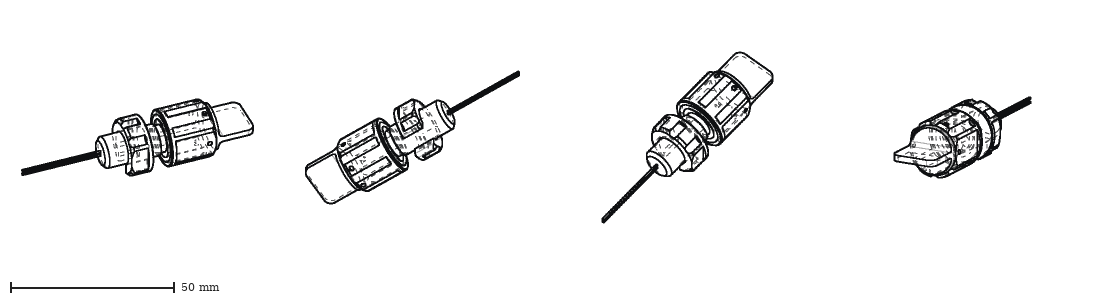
import cadquery as cq
import math


TOTAL_LENGTH = 73.8
COLLAR_START = 11.8
KNOB_START = 13.0
FLANGE_START = 26.5
KNOB_END = 28.05
NECK_END = 30.0
NUT_START = 34.1
NUT_FLANGE_WIDTH = 1.5
NUT_END = 40.95
BARREL_END = 48.1

OUTER_RADIUS = 9.0
COLLAR_RADIUS = 7.4
BARREL_RADIUS = 5.0
NECK_RADIUS = 4.35
NUT_BORE_RADIUS = 5.25

FLAT_DISTANCE = 8.0
GROOVE_RADIUS = 1.55
GROOVE_FLOOR = 7.9
KNOB_GROOVE_ANGLES = [45, 90, 135, 225, 270, 315]
NUT_GROOVE_ANGLES = [45, 90, 135, 225, 315]

KNOB_CHAMFER = 1.0
NUT_CHAMFER = 0.9
BARREL_CHAMFER = 1.1
KNOB_FLANGE_CHAMFER = 0.3
NUT_FLANGE_CHAMFER = 0.2
COLLAR_ROOT_FILLET = 0.2

PLATE_THICKNESS = 2.0
PLATE_CORNER_RADIUS = 2.5
PLATE_ROOT_RADIUS = 1.25

DIMPLE_STATION = 15.2
DIMPLE_RADIUS = 0.7
DIMPLE_FLOOR_RADIUS = 7.9
DIMPLE_ANGLES = [0, 67.5, 112.5, 180, 247.5, 292.5]

RING_RADIUS = 6.8
RING_SECTION_RADIUS = 0.8
RING_STAND_OUT = 0.5

SLOT_WIDTH = 6.3
SLOT_MOUTH_RADIUS = 0.9

CUT_MARGIN = 0.75

WIRE_RADIUS = 0.33
WIRE_OFFSET = 0.7


def disc(radius, start, end, x=0, z=0):
    """Cylinder along the axis between two stations."""
    plane = cq.Workplane("XZ", origin=(0, -start, 0))
    return plane.center(x, z).circle(radius).extrude(end - start)


def block(x_range, start, end, z_range):
    """Rectangular block between two stations."""
    size = (x_range[1] - x_range[0], end - start, z_range[1] - z_range[0])
    corner = (x_range[0], -end, z_range[0])
    return cq.Workplane("XY").box(*size, centered=False).translate(corner)


def cut_flats(body, start, end):
    """Cut one flat on the +X side and one on the -X side."""
    span = (-OUTER_RADIUS, OUTER_RADIUS)
    right_cut = block((FLAT_DISTANCE, OUTER_RADIUS + CUT_MARGIN), start, end, span)
    return body.cut(right_cut).cut(right_cut.mirror("YZ"))


def cut_grooves(body, angles, start, end):
    """Cut round-bottomed finger grooves parallel to the axis."""
    centre_distance = GROOVE_FLOOR + GROOVE_RADIUS
    for angle in angles:
        x = centre_distance * math.cos(math.radians(angle))
        z = centre_distance * math.sin(math.radians(angle))
        body = body.cut(disc(GROOVE_RADIUS, start, end, x, z))
    return body


def cut_dimples(body):
    """Sink round marks into the knob, each with a floor that follows a smaller cylinder."""
    core = disc(DIMPLE_FLOOR_RADIUS, KNOB_START, KNOB_END)
    centre = cq.Vector(0, -DIMPLE_STATION, 0)
    for angle in DIMPLE_ANGLES:
        direction = cq.Vector(math.cos(math.radians(angle)), 0, math.sin(math.radians(angle)))
        drill = cq.Solid.makeCylinder(DIMPLE_RADIUS, OUTER_RADIUS + CUT_MARGIN, centre, direction)
        body = body.cut(cq.Workplane(obj=drill).cut(core))
    return body


def make_knob_body():
    """Grip cylinder with its front collar, flats, grooves and dimples."""
    body = disc(OUTER_RADIUS, KNOB_START, KNOB_END)
    body = body.faces(">Y").chamfer(KNOB_CHAMFER)
    body = body.faces("<Y").chamfer(KNOB_FLANGE_CHAMFER)
    body = body.union(disc(COLLAR_RADIUS, COLLAR_START, KNOB_START))
    collar_root = body.edges(cq.selectors.RadiusNthSelector(0)).edges("<Y")
    body = collar_root.fillet(COLLAR_ROOT_FILLET)
    body = cut_flats(body, KNOB_START, FLANGE_START)
    body = cut_grooves(body, KNOB_GROOVE_ANGLES, KNOB_START, FLANGE_START)
    return cut_dimples(body)


def make_grip_plate():
    """Plate with filleted root, trimmed to the collar cylinder and rounded at its tip corners."""
    half = PLATE_THICKNESS / 2
    root_half = half + PLATE_ROOT_RADIUS
    root_start = COLLAR_START - PLATE_ROOT_RADIUS
    bend = PLATE_ROOT_RADIUS * (1 - math.sqrt(0.5))
    profile = (
        cq.Workplane("YZ", origin=(-COLLAR_RADIUS, 0, 0))
        .moveTo(0, half)
        .lineTo(-root_start, half)
        .threePointArc((-COLLAR_START + bend, half + bend), (-COLLAR_START, root_half))
        .lineTo(-KNOB_START, root_half)
        .lineTo(-KNOB_START, -root_half)
        .lineTo(-COLLAR_START, -root_half)
        .threePointArc((-COLLAR_START + bend, -half - bend), (-root_start, -half))
        .lineTo(0, -half)
        .close()
        .extrude(2 * COLLAR_RADIUS)
    )
    outline = block((-COLLAR_RADIUS, COLLAR_RADIUS), 0, KNOB_START, (-COLLAR_RADIUS, COLLAR_RADIUS))
    outline = outline.faces(">Y").edges("|Z").fillet(PLATE_CORNER_RADIUS)
    return profile.intersect(outline).intersect(disc(COLLAR_RADIUS, 0, KNOB_START))


def make_seal_ring():
    centre_station = KNOB_END + RING_STAND_OUT - RING_SECTION_RADIUS
    ring = cq.Solid.makeTorus(
        RING_RADIUS, RING_SECTION_RADIUS, cq.Vector(0, -centre_station, 0), cq.Vector(0, 1, 0)
    )
    return cq.Workplane(obj=ring)


def make_plug():
    """Knob, barrel and wires as one solid."""
    barrel = disc(BARREL_RADIUS, NECK_END, BARREL_END).faces("<Y").chamfer(BARREL_CHAMFER)
    plug = (
        make_knob_body()
        .union(make_seal_ring())
        .union(make_grip_plate())
        .union(disc(NECK_RADIUS, KNOB_END, NECK_END))
        .union(barrel)
    )
    for z in (WIRE_OFFSET, -WIRE_OFFSET):
        plug = plug.union(disc(WIRE_RADIUS, BARREL_END, TOTAL_LENGTH, z=z))
    return plug


def make_slotted_blank():
    """Disc with the nut's bore and a slot open toward -Z, its mouth edges rounded."""
    blank = disc(OUTER_RADIUS, NUT_START, NUT_END)
    blank = blank.cut(disc(NUT_BORE_RADIUS, NUT_START, NUT_END))
    half = SLOT_WIDTH / 2
    blank = blank.cut(block((-half, half), NUT_START, NUT_END, (-OUTER_RADIUS - CUT_MARGIN, 0)))
    mouth_edges = blank.edges("|Y").edges("<Z")
    return mouth_edges.fillet(SLOT_MOUTH_RADIUS)


def make_nut():
    """Slotted grip nut that surrounds the barrel with a small clearance."""
    flange_end = NUT_START + NUT_FLANGE_WIDTH
    nut = disc(OUTER_RADIUS, NUT_START, NUT_END)
    nut = nut.faces("<Y").chamfer(NUT_CHAMFER)
    nut = nut.faces(">Y").chamfer(NUT_FLANGE_CHAMFER)
    nut = nut.intersect(make_slotted_blank())
    nut = cut_flats(nut, flange_end, NUT_END)
    return cut_grooves(nut, NUT_GROOVE_ANGLES, flange_end, NUT_END)


plug = make_plug()
nut = make_nut()
result = cq.Compound.makeCompound([plug.val(), nut.val()])